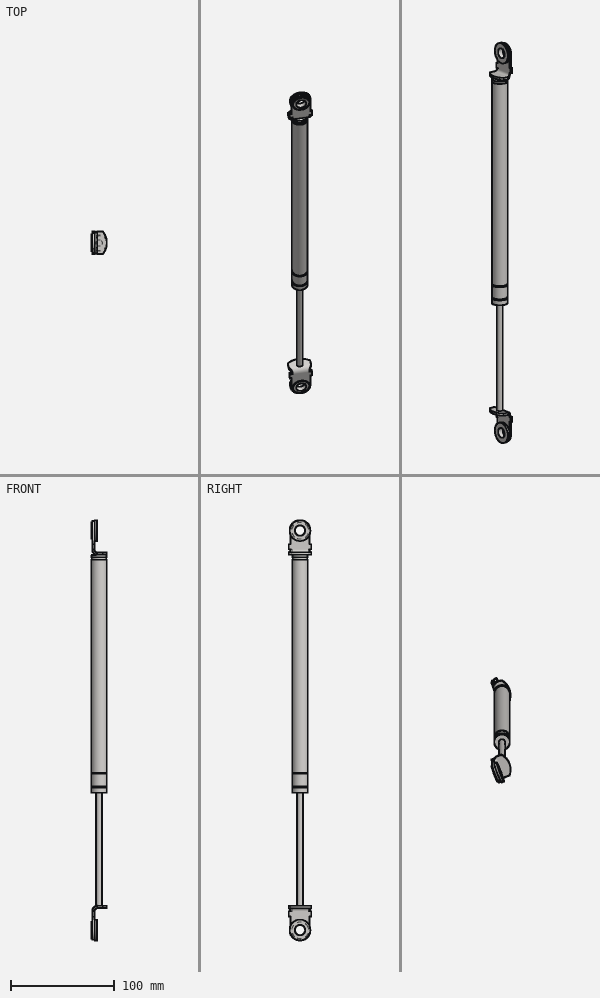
import cadquery as cq

LENGTH = 406.0
HALF_DEPTH = 7.7

BUSHING_BORE = 9.7
BUSHING_BODY_DIAMETER = 16.2
BUSHING_FLANGE_DIAMETER = 20.5
BUSHING_LIP = 1.0
BUSHING_FLANGE_THICKNESS = 2.5
EYE_Z = LENGTH / 2 - BUSHING_FLANGE_DIAMETER / 2

SHEET = 2.5
BEND_INNER_RADIUS = 3.0
BEND_OUTER_RADIUS = BEND_INNER_RADIUS + SHEET
PLATE_WIDTH = 18.5
BRACKET_WIDTH = 22.0
PLATE_FRONT_X = -HALF_DEPTH + BUSHING_LIP
PLATE_BACK_X = PLATE_FRONT_X + SHEET
FOOT_Z = 169.3
SHOULDER_Z = 180.0
FOOT_CORNER_X = 3.5
BEND_WIDTH = 16.0
BEND_CORNER_LENGTH = 5.0
BEND_END_X = PLATE_FRONT_X + BEND_OUTER_RADIUS
BEND_END_Z = FOOT_Z + BEND_OUTER_RADIUS

TUBE_RADIUS = 7.7
NECK_RADIUS = 7.1
TUBE_BOTTOM_Z = -60.5
NECK_BOTTOM_Z = 164.5
NECK_TOP_Z = 167.0
GROOVE_RADIUS = 1.0
GROOVE_DEPTH = 0.5
GROOVE_HEIGHTS = (-41.5, -55.0)

ROD_RADIUS = 3.05


def x_cylinder(diameter, start_x, end_x):
    """Cylinder along X, centred on the upper eye."""
    return (
        cq.Workplane("YZ", origin=(start_x, 0, EYE_Z))
        .circle(diameter / 2)
        .extrude(end_x - start_x)
    )


def make_bushing():
    """Upper bushing: a sleeve through the eye with a flange behind the plate."""
    flange_end_x = PLATE_BACK_X + BUSHING_FLANGE_THICKNESS
    sleeve = x_cylinder(BUSHING_BODY_DIAMETER, -HALF_DEPTH, flange_end_x)
    flange = x_cylinder(BUSHING_FLANGE_DIAMETER, PLATE_BACK_X, flange_end_x)
    bore = x_cylinder(BUSHING_BORE, -HALF_DEPTH, flange_end_x)
    return sleeve.union(flange).cut(bore)


def make_bracket():
    """Upper bracket: an L of bent sheet with a round eye end and a bowed foot."""
    eye_top_z = EYE_Z + PLATE_WIDTH / 2
    half_width = BRACKET_WIDTH / 2
    half_plate = PLATE_WIDTH / 2
    half_bend = BEND_WIDTH / 2
    sheet = (
        cq.Workplane("XZ", origin=(0, half_width, 0))
        .moveTo(HALF_DEPTH, FOOT_Z)
        .lineTo(BEND_END_X, FOOT_Z)
        .radiusArc((PLATE_FRONT_X, BEND_END_Z), BEND_OUTER_RADIUS)
        .lineTo(PLATE_FRONT_X, eye_top_z)
        .lineTo(PLATE_BACK_X, eye_top_z)
        .lineTo(PLATE_BACK_X, BEND_END_Z)
        .radiusArc((BEND_END_X, FOOT_Z + SHEET), -BEND_INNER_RADIUS)
        .lineTo(HALF_DEPTH, FOOT_Z + SHEET)
        .close()
        .extrude(BRACKET_WIDTH)
    )
    plate_outline = (
        cq.Workplane("YZ", origin=(-HALF_DEPTH, 0, 0))
        .moveTo(-half_width, FOOT_Z)
        .lineTo(-half_width, SHOULDER_Z)
        .lineTo(-half_plate, SHOULDER_Z)
        .lineTo(-half_plate, EYE_Z)
        .threePointArc((0, eye_top_z), (half_plate, EYE_Z))
        .lineTo(half_plate, SHOULDER_Z)
        .lineTo(half_width, SHOULDER_Z)
        .lineTo(half_width, FOOT_Z)
        .close()
        .extrude(2 * HALF_DEPTH)
    )
    foot_outline = (
        cq.Workplane("XY", origin=(0, 0, FOOT_Z))
        .moveTo(-HALF_DEPTH, -half_width)
        .lineTo(FOOT_CORNER_X, -half_width)
        .threePointArc((HALF_DEPTH, 0), (FOOT_CORNER_X, half_width))
        .lineTo(-HALF_DEPTH, half_width)
        .close()
        .extrude(eye_top_z - FOOT_Z)
    )
    bracket = sheet.intersect(plate_outline).intersect(foot_outline)

    for side in (-1, 1):
        corner = (
            cq.Workplane("XY", origin=(0, 0, FOOT_Z))
            .moveTo(PLATE_FRONT_X, side * half_bend)
            .lineTo(PLATE_FRONT_X + BEND_CORNER_LENGTH, side * half_width)
            .lineTo(PLATE_FRONT_X, side * half_width)
            .close()
            .extrude(BEND_OUTER_RADIUS)
        )
        bracket = bracket.cut(corner)
    return bracket.cut(x_cylinder(BUSHING_BODY_DIAMETER, PLATE_FRONT_X, PLATE_BACK_X))


def make_tube():
    """Gas cylinder with a necked, tapered top and rolled grooves near the bottom."""
    tube = (
        cq.Workplane("XZ")
        .moveTo(0, TUBE_BOTTOM_Z)
        .lineTo(TUBE_RADIUS, TUBE_BOTTOM_Z)
        .lineTo(TUBE_RADIUS, NECK_BOTTOM_Z)
        .lineTo(NECK_RADIUS, NECK_BOTTOM_Z)
        .lineTo(NECK_RADIUS, NECK_TOP_Z)
        .lineTo(TUBE_RADIUS, NECK_TOP_Z)
        .lineTo(NECK_RADIUS, FOOT_Z)
        .lineTo(0, FOOT_Z)
        .close()
        .revolve(360, (0, 0, 0), (0, 1, 0))
    )
    groove_centre = TUBE_RADIUS + GROOVE_RADIUS - GROOVE_DEPTH
    for height in GROOVE_HEIGHTS:
        ring = cq.Solid.makeTorus(groove_centre, GROOVE_RADIUS, cq.Vector(0, 0, height))
        tube = tube.cut(cq.Workplane(ring))
    return tube


def make_rod():
    """Piston rod between the cylinder and the foot of the lower bracket."""
    return (
        cq.Workplane("XY", origin=(0, 0, -FOOT_Z))
        .circle(ROD_RADIUS)
        .extrude(TUBE_BOTTOM_Z + FOOT_Z)
    )


upper_fitting = [make_bracket(), make_bushing()]
lower_fitting = [body.mirror("XY") for body in upper_fitting]
bodies = [make_tube(), make_rod(), *upper_fitting, *lower_fitting]

result = cq.Compound.makeCompound([body.val() for body in bodies])